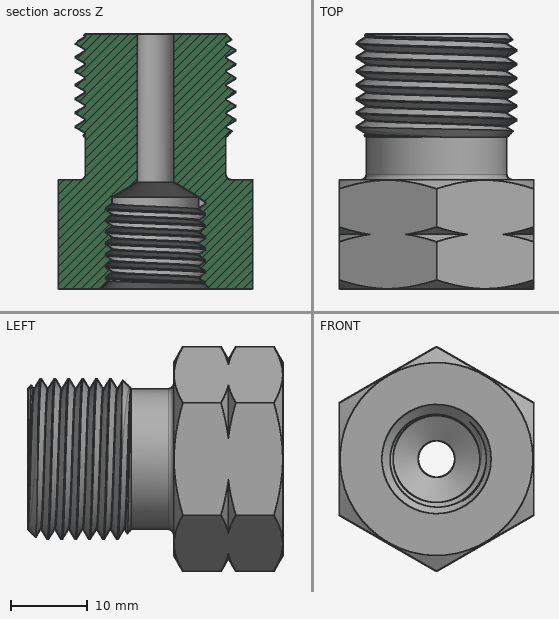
import cadquery as cq
import math

length = 33.27

across_flats = 25.4
hex_length = 14.27
chamfer_angle = 30.0
face_radius = 12.58
notch_radius = 12.98

neck_radius = 9.18
neck_fillet = 0.7
male_start = 19.8
male_radius = 10.45
male_pitch = 1.813
male_crest_width = 0.15
male_helix_start = 18.43
male_turns = 9

bore_radius = 5.65
bore_depth = 11.98
drill_point_angle = 118.0
passage_radius = 2.35
mouth_radius = 7.12
female_radius = 6.5
female_pitch = 1.5
female_root_width = 0.2
female_helix_start = -2.25
female_turns = 9

turn_gap = 0.03
sunk_depth = 0.05

overrun = 5.0

corner_radius = across_flats / math.sqrt(3)


def turned(points):
    """Revolve an outline of (radius, Y) points about the Y axis."""
    return cq.Workplane("XY").polyline(points).close().revolve(360, (0, 0, 0), (0, 1, 0))


def thread_form(base_radius, tip_radius, tip_width, pitch, start, turns, left_hand):
    """Sweep one V-shaped thread form along a helix about the Y axis."""
    half_base = (pitch - turn_gap) / 2
    half_tip = tip_width / 2
    sunk_radius = base_radius - sunk_depth
    helix = cq.Wire.makeHelix(pitch, turns * pitch, base_radius, lefthand=left_hand)
    form = (
        cq.Workplane("XZ")
        .polyline([
            (sunk_radius, -half_base),
            (tip_radius, -half_tip),
            (tip_radius, half_tip),
            (sunk_radius, half_base),
        ])
        .close()
        .sweep(cq.Workplane(obj=helix), isFrenet=True)
    )
    return form.rotate((0, 0, 0), (1, 0, 0), -90).translate((0, start, 0))


def make_hexagon():
    """Hexagon with corners on +Z and -Z, both ends chamfered, V notch round its middle."""
    prism = (
        cq.Workplane("XZ")
        .polygon(6, 2 * corner_radius)
        .extrude(-hex_length)
        .rotate((0, 0, 0), (0, 1, 0), 30)
    )
    outer_radius = corner_radius + 0.33
    slope = math.tan(math.radians(chamfer_angle))
    chamfer_depth = (outer_radius - face_radius) * slope
    notch_half_width = (outer_radius - notch_radius) * slope
    middle = hex_length / 2
    envelope = turned([
        (0, 0),
        (face_radius, 0),
        (outer_radius, chamfer_depth),
        (outer_radius, middle - notch_half_width),
        (notch_radius, middle),
        (outer_radius, middle + notch_half_width),
        (outer_radius, hex_length - chamfer_depth),
        (face_radius, hex_length),
        (0, hex_length),
    ])
    return prism.intersect(envelope)


def make_neck():
    """Plain cylinder with a concave fillet where it leaves the hexagon."""
    arc_offset = neck_fillet * (1 - math.sqrt(0.5))
    arc_middle = (neck_radius + arc_offset, hex_length + arc_offset)
    return (
        cq.Workplane("XY")
        .moveTo(0, hex_length)
        .lineTo(neck_radius + neck_fillet, hex_length)
        .threePointArc(arc_middle, (neck_radius, hex_length + neck_fillet))
        .lineTo(neck_radius, male_start)
        .lineTo(0, male_start)
        .close()
        .revolve(360, (0, 0, 0), (0, 1, 0))
    )


def make_male_thread():
    """Left-hand threaded rod, its ridge trimmed to 45 degree cones at both ends."""
    rod = turned([
        (0, male_start - overrun),
        (neck_radius, male_start - overrun),
        (neck_radius, length + overrun),
        (0, length + overrun),
    ])
    ridge = thread_form(neck_radius, male_radius, male_crest_width, male_pitch,
                        male_helix_start, male_turns, True)
    threaded_rod = rod.union(ridge, clean=False)
    trim_width = 2 * (male_radius - neck_radius)
    trim_radius = neck_radius + trim_width
    runout_trim = turned([
        (0, male_start),
        (neck_radius, male_start),
        (trim_radius, male_start + trim_width),
        (trim_radius, male_start - 2 * overrun),
        (0, male_start - 2 * overrun),
    ])
    end_trim = turned([
        (0, length),
        (neck_radius, length),
        (trim_radius, length - trim_width),
        (trim_radius, length + 2 * overrun),
        (0, length + 2 * overrun),
    ])
    return threaded_rod.cut(end_trim, clean=False).cut(runout_trim, clean=False)


def make_mouth():
    """45 degree countersink at the mouth of the bore."""
    return turned([
        (0, 0),
        (mouth_radius, 0),
        (0, mouth_radius),
    ])


def make_threaded_bore():
    """Blind bore with a drill point, right-hand groove and a narrow passage to the far end."""
    point_depth = (bore_radius - passage_radius) / math.tan(math.radians(drill_point_angle / 2))
    bore = turned([
        (0, -overrun),
        (bore_radius, -overrun),
        (bore_radius, bore_depth),
        (passage_radius, bore_depth + point_depth),
        (passage_radius, length + overrun),
        (0, length + overrun),
    ])
    groove = thread_form(bore_radius, female_radius, female_root_width, female_pitch,
                         female_helix_start, female_turns, False)
    return bore.union(groove, clean=False)


body = make_hexagon().union(make_neck()).union(make_male_thread(), clean=False)
result = body.cut(make_mouth(), clean=False).cut(make_threaded_bore(), clean=False)